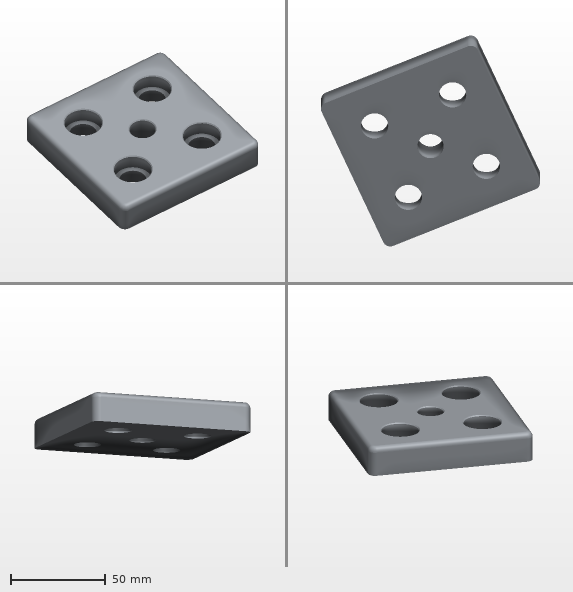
import cadquery as cq

side = 90
thickness = 16.0
corner_radius = 4.0
top_edge_radius = 3.0

hole_pitch = side / 2
hole_diameter = 14.5
counterbore_diameter = 20.0
counterbore_depth = 8.0

center_diameter = 13.9

mouth_chamfer = 0.5


def make_plate():
    """Square plate with rounded corners and a rounded top edge."""
    plate = cq.Workplane("XY").box(side, side, thickness, centered=(True, True, False))
    plate = plate.edges("|Z").fillet(corner_radius)
    return plate.faces(">Z").edges().fillet(top_edge_radius)


def make_hole_cutter(diameter, depth):
    """Cylinder reaching down from the top face, flared by a chamfer at its mouth."""
    cutter = cq.Workplane("XY").workplane(offset=thickness - depth).circle(diameter / 2).extrude(depth)
    flare = (
        cq.Workplane("XY")
        .workplane(offset=thickness)
        .circle(diameter / 2 + mouth_chamfer)
        .extrude(-mouth_chamfer, taper=45)
    )
    return cutter.union(flare)


result = make_plate()
result = result.cut(make_hole_cutter(center_diameter, thickness))

counterbore = make_hole_cutter(counterbore_diameter, counterbore_depth)
through_hole = cq.Workplane("XY").circle(hole_diameter / 2).extrude(thickness)
mounting_hole = counterbore.union(through_hole)
for x_sign in (-1, 1):
    for y_sign in (-1, 1):
        center = (x_sign * hole_pitch / 2, y_sign * hole_pitch / 2, 0)
        result = result.cut(mounting_hole.translate(center))